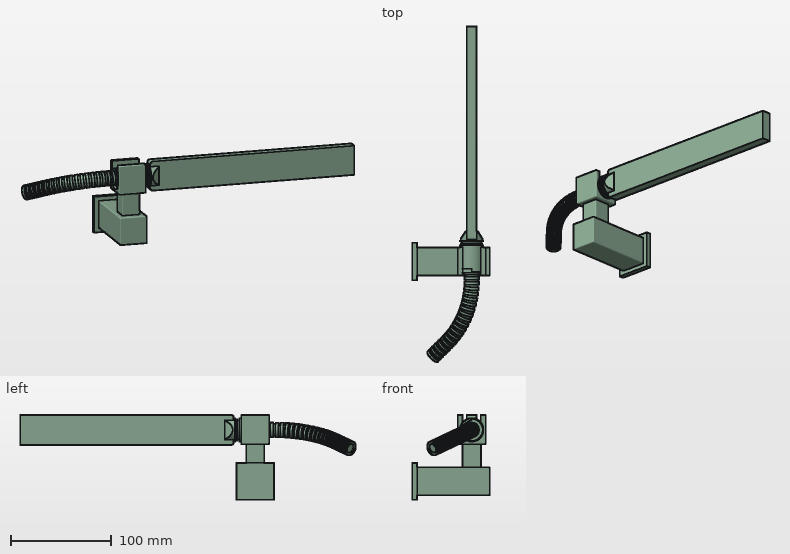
import cadquery as cq
import math


overall_width = 77.0
wall_x = -59.0
plate_thickness = 5.0
plate_width = 37.3
plate_height = 36.5
beam_size = 28.0
beam_axis_z = -51.0
beam_length = overall_width - plate_thickness
edge_radius = 1.0

post_width = 18.5
post_depth = 18.0
cradle_size = 28.0
cradle_bottom_z = -14.3
cradle_top_z = 15.0
slot_width = 18.0

bar_width = 10.0
bar_height = 30.0
bar_near_y = 21.3
bar_far_y = 233.2
bar_end_radius = 2.5

body_radius = 11.5
body_front_y = -11.0
body_rear_y = 16.0
body_chamfer = 0.5
neck_radius = 9.5
ring_radius = 10.5
ring_y = 17.5
ring_thickness = 0.5
flange_radius = 11.5
flange_y = 20.0
flange_thickness = 0.5
wedge_radius = 11.0
wedge_shoulder_y = 22.3
wedge_tip_y = 30.0
wedge_tip_half_width = 6.0
notch_length = 4.0
notch_wall = 1.5
notch_slope = 30

hose_core_radius = 6.3
hose_end_bore_radius = 4.5
hose_end_bore_depth = 1.0
rib_radius = 7.3
rib_thickness = 3.0
rib_count = 20
hose_start_y = -10.0
hose_lead = 9.3
bend_radius = 82.0
bend_angle = 48
bend_length = bend_radius * math.radians(bend_angle)
hose_tail = 21.3
bend_plane_tilt = 25.4


def centred_box(size_x, size_y, size_z, centre):
    return cq.Workplane("XY").box(size_x, size_y, size_z).translate(centre)


def disc(radius, y_start, thickness):
    """Cylinder on the Y axis running from y_start towards +Y."""
    solid = cq.Solid.makeCylinder(radius, thickness, cq.Vector(0, y_start, 0), cq.Vector(0, 1, 0))
    return cq.Workplane(obj=solid)


def make_wall_mount():
    plate_x = wall_x + plate_thickness / 2
    plate = centred_box(plate_thickness, plate_width, plate_height, (plate_x, 0, beam_axis_z))
    beam_x = wall_x + plate_thickness + beam_length / 2
    beam = centred_box(beam_length, beam_size, beam_size, (beam_x, 0, beam_axis_z))
    beam = beam.edges("|X or >X").fillet(edge_radius)
    return plate.union(beam)


def make_cradle():
    post_height = cradle_bottom_z - beam_axis_z
    post = centred_box(post_width, post_depth, post_height, (0, 0, beam_axis_z + post_height / 2))
    post = post.edges("|Z").fillet(edge_radius)
    height = cradle_top_z - cradle_bottom_z
    block = centred_box(cradle_size, cradle_size, height, (0, 0, cradle_bottom_z + height / 2))
    block = block.edges().fillet(edge_radius)
    slot = centred_box(slot_width, cradle_size, cradle_top_z, (0, 0, cradle_top_z / 2))
    bore = disc(body_radius, -cradle_size / 2, cradle_size)
    return block.cut(slot).cut(bore).union(post)


def make_bar():
    length = bar_far_y - bar_near_y
    bar = centred_box(bar_width, length, bar_height, (0, bar_near_y + length / 2, 0))
    return bar.edges("|X and <Y").fillet(bar_end_radius)


def make_wedge():
    """Round plug whose two sides slope in towards the faces of the bar."""
    plug = disc(wedge_radius, flange_y, wedge_tip_y - flange_y)
    profile = (
        cq.Workplane("XY")
        .moveTo(-wedge_radius, flange_y)
        .lineTo(wedge_radius, flange_y)
        .lineTo(wedge_radius, wedge_shoulder_y)
        .lineTo(wedge_tip_half_width, wedge_tip_y)
        .lineTo(-wedge_tip_half_width, wedge_tip_y)
        .lineTo(-wedge_radius, wedge_shoulder_y)
        .close()
        .extrude(wedge_radius, both=True)
    )
    return plug.intersect(profile)


def make_connector():
    body = disc(body_radius, body_front_y, body_rear_y - body_front_y)
    body = body.faces("<Y").edges().chamfer(body_chamfer)
    notch_top = body_radius - notch_wall
    notch_drop = body_radius * math.tan(math.radians(notch_slope))
    notch = (
        cq.Workplane("XZ", origin=(0, body_front_y + notch_length, 0))
        .moveTo(0, body_radius)
        .lineTo(-body_radius, body_radius)
        .lineTo(-body_radius, notch_top - notch_drop)
        .lineTo(0, notch_top)
        .close()
        .extrude(notch_length)
    )
    body = body.cut(notch)
    neck = disc(neck_radius, 0, flange_y)
    ring = disc(ring_radius, ring_y, ring_thickness)
    flange = disc(flange_radius, flange_y, flange_thickness)
    return body.union(neck).union(ring).union(flange).union(make_wedge())


def hose_place(distance):
    """Centre-line position and heading at a distance along the hose, in the XY plane."""
    bend = math.radians(bend_angle)
    before = min(distance, hose_lead)
    turned = min(max(distance - hose_lead, 0) / bend_length, 1) * bend
    after = max(distance - hose_lead - bend_length, 0)
    sideways = bend_radius * (1 - math.cos(turned)) + after * math.sin(turned)
    forward = before + bend_radius * math.sin(turned) + after * math.cos(turned)
    position = cq.Vector(-sideways, hose_start_y - forward, 0)
    heading = cq.Vector(-math.sin(turned), -math.cos(turned), 0)
    return position, heading


def make_hose():
    """Core and ring ribs built in the XY plane, then tilted about the Y axis."""
    hose_length = hose_lead + bend_length + hose_tail
    bend_start = hose_place(hose_lead)[0]
    bend_middle = hose_place(hose_lead + bend_length / 2)[0]
    bend_end = hose_place(hose_lead + bend_length)[0]
    tip, tip_heading = hose_place(hose_length)
    path = (
        cq.Workplane("XY")
        .moveTo(0, hose_start_y)
        .lineTo(bend_start.x, bend_start.y)
        .threePointArc((bend_middle.x, bend_middle.y), (bend_end.x, bend_end.y))
        .lineTo(tip.x, tip.y)
    )
    hose = cq.Workplane("XZ", origin=(0, hose_start_y, 0)).circle(hose_core_radius).sweep(path)
    rib_pitch = (hose_length - rib_thickness) / (rib_count - 1)
    for index in range(rib_count):
        position, heading = hose_place(index * rib_pitch)
        rib = cq.Solid.makeCylinder(rib_radius, rib_thickness, position, heading)
        hose = hose.union(cq.Workplane(obj=rib))
    bore = cq.Solid.makeCylinder(hose_end_bore_radius, hose_end_bore_depth, tip, tip_heading * -1)
    hose = hose.cut(cq.Workplane(obj=bore))
    return hose.rotate((0, 0, 0), (0, 1, 0), -bend_plane_tilt)


result = make_wall_mount().union(make_cradle()).union(make_connector())
result = result.union(make_bar()).union(make_hose())